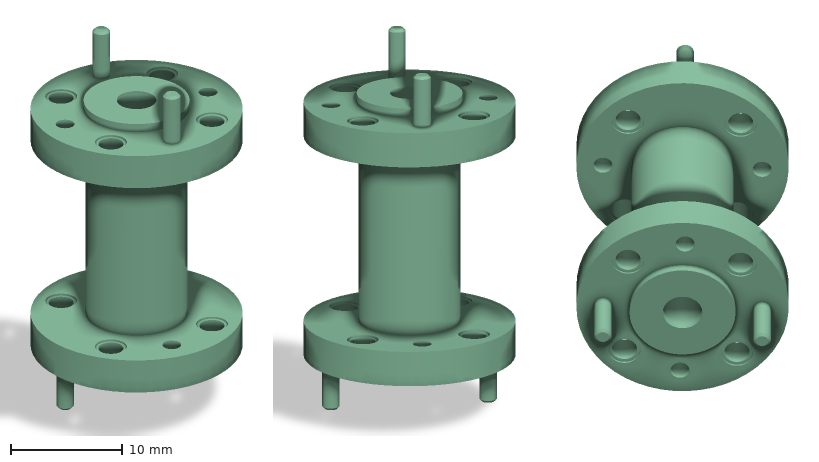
import cadquery as cq
import math

total_height = 33.27
flange_diameter = 19.05
flange_thickness = 3.23
boss_diameter = 9.5
boss_height = 0.8
tube_diameter = 9.15
bore_diameter = 3.55

pitch_radius = 7.15
bolt_hole_diameter = 2.25
counterbore_diameter = 2.85
counterbore_depth = 0.15
pin_projection = 4.72
pin_diameter = 1.55
pin_hole_diameter = 1.7
pin_chamfer = 0.23

bolt_angles = [0, 90, 180, 270]
pin_angles = [135, 315]
pin_hole_angles = [45, 225]

pin_tip = total_height / 2
flange_face = pin_tip - pin_projection
flange_back = flange_face - flange_thickness
boss_face = flange_face + boss_height


def pitch_points(angles):
    """Points on the pitch circle at the given angles in degrees."""
    return [
        (pitch_radius * math.cos(math.radians(angle)), pitch_radius * math.sin(math.radians(angle)))
        for angle in angles
    ]


def cylinders(diameter, bottom, top, points=((0, 0),)):
    """Upright cylinders between two levels, one at each point."""
    return (
        cq.Workplane("XY")
        .workplane(offset=bottom)
        .pushPoints(points)
        .circle(diameter / 2)
        .extrude(top - bottom)
    )


def make_flange():
    """Upper flange with its boss, bolt holes and pin holes."""
    bolt_points = pitch_points(bolt_angles)
    disc = cylinders(flange_diameter, flange_back, flange_face)
    boss = cylinders(boss_diameter, flange_face, boss_face)
    bolt_holes = cylinders(bolt_hole_diameter, flange_back, flange_face, bolt_points)
    pin_holes = cylinders(pin_hole_diameter, flange_back, flange_face, pitch_points(pin_hole_angles))
    flange = disc.union(boss).cut(bolt_holes).cut(pin_holes)

    for floor in (flange_back, flange_face - counterbore_depth):
        flange = flange.cut(cylinders(counterbore_diameter, floor, floor + counterbore_depth, bolt_points))
    return flange


def make_pins():
    """Pair of alignment pins, flush with the flange back and chamfered at the tip."""
    pins = cylinders(pin_diameter, flange_back, pin_tip, pitch_points(pin_angles))
    return pins.faces(">Z").chamfer(pin_chamfer)


upper_end = make_flange().union(make_pins())

lower_end = upper_end.rotate((0, 0, 0), (1, 0, 0), 180)

tube = cylinders(tube_diameter, -flange_back, flange_back)
bore = cylinders(bore_diameter, -boss_face, boss_face)

result = tube.union(upper_end).union(lower_end).cut(bore)